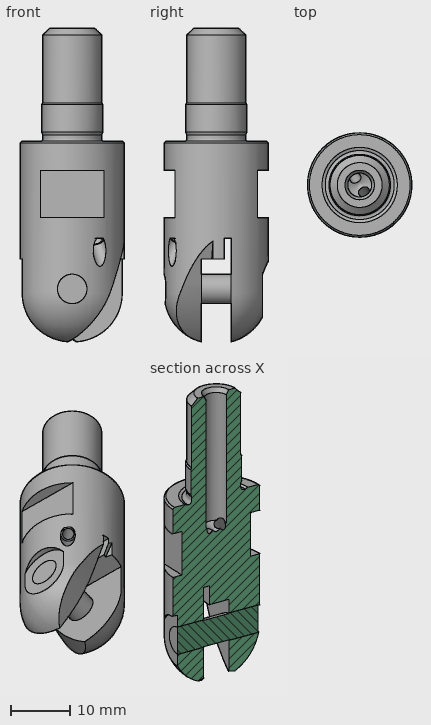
import cadquery as cq
import math

total_height = 52.9

shank_radius = 10.0 / 2
shank_chamfer_height = 1.15
shank_chamfer_width = 1.2
collar_radius = 5.2
collar_top_z = 40.0
collar_bottom_z = 35.4
collar_lead_height = 0.3
collar_undercut_height = 0.5

relief_outer_radius = 6.35
relief_floor_radius = 5.8
relief_depth = 0.2
relief_fillet = 0.6

body_radius = 17.6 / 2
body_top_z = 33.85
body_chamfer = 0.3
nose_radius = 8.5
nose_start_z = 8.2

flat_half_width = 7.0
flat_bottom_z = 20.95
flat_height = 8.0

slot_half_width = 2.5
slot_top_z = 13.95
deep_slot_inner_y = 1.4
deep_slot_top_z = 17.45

flank_turn = 11.0
flank_inner_y = 2.2
flank_tangent_x = 5.6
flank_tangent_z = 9.45
flank_tilt = 21.2
flank_arc_radius = 23.3
flank_arc_end = 70.0

bore_radius = 2.0
bore_mouth_radius = 2.5
bore_apex_z = 27.2
countersink_half_angle = 30.0
drill_half_angle = 59.0

outlet_radius = 0.95
outlet_mouth_radius = 2.5 / 2
outlet_mouth_depth = 2.0
outlet_exit_z = 15.25
outlet_slope = 60.0
outlet_heading = -58.0

pin_radius = 2.5
pin_z = 8.95
pin_front_y = -8.5
pin_back_y = 7.85

spotface_radius = 4.7

far = 2 * body_radius
nose_flat_radius = body_radius - nose_radius
half_turn = 180
full_turn = 360


def tangent_of(degrees):
    return math.tan(math.radians(degrees))


def box_between(x_range, y_range, z_range):
    corner = tuple(low for low, _ in (x_range, y_range, z_range))
    size = [high - low for low, high in (x_range, y_range, z_range)]
    return cq.Workplane("XY").box(*size, centered=False).translate(corner)


def turned(shape, angle):
    return shape.rotate((0, 0, 0), (0, 0, 1), angle)


def revolved_blank():
    """Shank, collar, relief groove, cylinder and round nose in one profile."""
    mid_arc = math.sqrt(0.5)
    nose_mid = nose_radius * mid_arc
    relief_z = body_top_z - relief_depth
    collar_lead_z = collar_top_z + collar_lead_height
    undercut_z = collar_bottom_z - collar_undercut_height
    fillet_mid = relief_fillet * (1 - mid_arc)
    fillet_top_z = relief_z + relief_fillet
    return (
        cq.Workplane("XZ")
        .moveTo(0, nose_start_z - nose_radius)
        .lineTo(nose_flat_radius, nose_start_z - nose_radius)
        .threePointArc((nose_flat_radius + nose_mid, nose_start_z - nose_mid), (body_radius, nose_start_z))
        .lineTo(body_radius, body_top_z - body_chamfer)
        .lineTo(body_radius - body_chamfer, body_top_z)
        .lineTo(relief_outer_radius, body_top_z)
        .lineTo(relief_floor_radius, relief_z)
        .lineTo(shank_radius + relief_fillet, relief_z)
        .threePointArc((shank_radius + fillet_mid, relief_z + fillet_mid), (shank_radius, fillet_top_z))
        .lineTo(shank_radius, undercut_z)
        .lineTo(collar_radius, collar_bottom_z)
        .lineTo(collar_radius, collar_top_z)
        .lineTo(shank_radius, collar_lead_z)
        .lineTo(shank_radius, total_height - shank_chamfer_height)
        .lineTo(shank_radius - shank_chamfer_width, total_height)
        .lineTo(0, total_height)
        .close()
        .revolve(full_turn, (0, 0, 0), (0, 1, 0))
    )


def wrench_flats():
    z_range = (flat_bottom_z, flat_bottom_z + flat_height)
    front = box_between((-far, far), (-far, -flat_half_width), z_range)
    return front.union(turned(front, half_turn))


def lever_slot():
    wide = box_between((-far, far), (-slot_half_width, slot_half_width), (-far, slot_top_z))
    deep = box_between((-far, far), (deep_slot_inner_y, slot_half_width), (-far, deep_slot_top_z))
    return wide.union(deep)


def flank_relief():
    """Outside of a sloping line and its tangent arc, on the +X side of the -Y leg."""
    tilt = math.radians(flank_tilt)
    center_x = flank_tangent_x - flank_arc_radius * math.cos(tilt)
    center_z = flank_tangent_z + flank_arc_radius * math.sin(tilt)

    def arc_point(angle):
        return (
            center_x + flank_arc_radius * math.cos(angle),
            center_z - flank_arc_radius * math.sin(angle),
        )

    end_angle = math.radians(flank_arc_end)
    line_top_z = flank_tangent_z + (far - flank_tangent_x) / math.tan(tilt)
    profile = (
        cq.Workplane("XZ", origin=(0, -flank_inner_y, 0))
        .moveTo(far, line_top_z)
        .lineTo(flank_tangent_x, flank_tangent_z)
        .threePointArc(arc_point((tilt + end_angle) / 2), arc_point(end_angle))
        .lineTo(far, arc_point(end_angle)[1])
        .close()
    )
    return turned(profile.extrude(far), flank_turn)


def shank_bore():
    countersink_depth = (bore_mouth_radius - bore_radius) / tangent_of(countersink_half_angle)
    tip_height = bore_radius / tangent_of(drill_half_angle)
    return (
        cq.Workplane("XZ")
        .moveTo(0, bore_apex_z)
        .lineTo(bore_radius, bore_apex_z + tip_height)
        .lineTo(bore_radius, total_height - countersink_depth)
        .lineTo(bore_mouth_radius, total_height)
        .lineTo(0, total_height)
        .close()
        .revolve(full_turn, (0, 0, 0), (0, 1, 0))
    )


def outlet_hole():
    """Counterbored hole falling from the bore to the cylinder wall."""
    slope = math.radians(outlet_slope)
    heading = math.radians(outlet_heading)
    axis_length = body_radius / math.cos(slope)
    start = cq.Vector(0, 0, outlet_exit_z + body_radius * math.tan(slope))
    direction = cq.Vector(
        math.cos(slope) * math.cos(heading),
        math.cos(slope) * math.sin(heading),
        -math.sin(slope),
    )
    narrow = cq.Solid.makeCylinder(outlet_radius, axis_length, start, direction)
    mouth_start = start + direction * (axis_length - outlet_mouth_depth)
    mouth = cq.Solid.makeCylinder(outlet_mouth_radius, body_radius, mouth_start, direction)
    return cq.Workplane(narrow).union(cq.Workplane(mouth))


def y_cylinder(radius, y_start, y_end):
    start = cq.Vector(0, y_start, pin_z)
    return cq.Workplane(cq.Solid.makeCylinder(radius, y_end - y_start, start, cq.Vector(0, 1, 0)))


def make_body():
    body = revolved_blank().cut(wrench_flats()).cut(lever_slot()).cut(shank_bore())
    for turn in (0, half_turn):
        for cutter in (flank_relief(), outlet_hole()):
            body = body.cut(turned(cutter, turn))
    body = body.cut(y_cylinder(pin_radius, -far, far))
    return body.cut(y_cylinder(spotface_radius, pin_back_y, far))


def make_pin():
    return y_cylinder(pin_radius, pin_front_y, pin_back_y)


body = make_body()
pin = make_pin()
result = cq.Compound.makeCompound([body.val(), pin.val()])